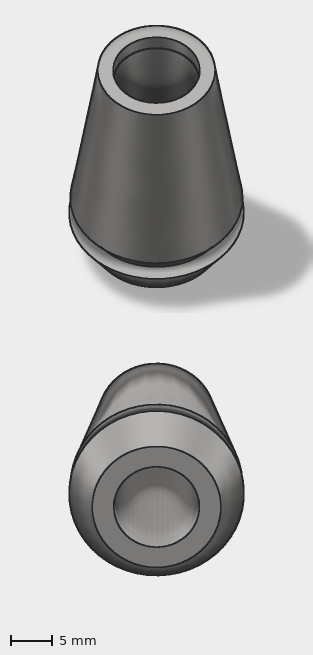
import cadquery as cq
import math

height = 31.5
collar_radius = 10.65
collar_height = 4.88
collar_angle = 30.0
groove_radius = 8.73
groove_width = 2.77
body_radius = 10.5
body_angle = 8.0
bore_radius = 5.2
mouth_radius = 5.25
mouth_depth = 2.02

body_start = collar_height + groove_width
nose_radius = collar_radius - collar_height * math.tan(math.radians(collar_angle))
top_radius = body_radius - (height - body_start) * math.tan(math.radians(body_angle))
mouth_start = height - mouth_depth

half_section = [
    (bore_radius, 0),
    (nose_radius, 0),
    (collar_radius, collar_height),
    (groove_radius, collar_height),
    (groove_radius, body_start),
    (body_radius, body_start),
    (top_radius, height),
    (mouth_radius, height),
    (mouth_radius, mouth_start),
    (bore_radius, mouth_start),
]

result = cq.Workplane("XZ").polyline(half_section).close().revolve(360, (0, 0, 0), (0, 1, 0))